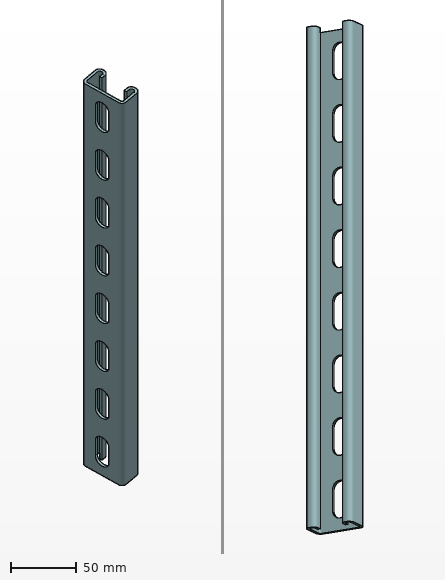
import cadquery as cq

length = 400.0
thickness = 2.5
inner_bend_radius = 1.5

web_flat = 33.0
flange_flat = 13.0
crown_flat = 1.3
lip_flat = 3.5

slot_count = 8
slot_length = 30.0
slot_width = 13.0
slot_pitch = length / slot_count

bend_radius = inner_bend_radius + thickness
bend_x = web_flat / 2
flange_x = bend_x + bend_radius
flange_inner_x = flange_x - thickness
flange_top_y = bend_radius + flange_flat
crown_y = flange_top_y + bend_radius
crown_inner_y = crown_y - thickness
lip_bend_x = bend_x - crown_flat
lip_x = lip_bend_x - bend_radius
lip_inner_x = lip_x + thickness
lip_end_y = flange_top_y - lip_flat


def half_channel():
    """Half of the channel on the +X side, cut at the middle of the web."""
    profile = (
        cq.Workplane("XY")
        .lineTo(bend_x, 0)
        .radiusArc((flange_x, bend_radius), -bend_radius)
        .lineTo(flange_x, flange_top_y)
        .radiusArc((bend_x, crown_y), -bend_radius)
        .lineTo(lip_bend_x, crown_y)
        .radiusArc((lip_x, flange_top_y), -bend_radius)
        .lineTo(lip_x, lip_end_y)
        .lineTo(lip_inner_x, lip_end_y)
        .lineTo(lip_inner_x, flange_top_y)
        .radiusArc((lip_bend_x, crown_inner_y), inner_bend_radius)
        .lineTo(bend_x, crown_inner_y)
        .radiusArc((flange_inner_x, flange_top_y), inner_bend_radius)
        .lineTo(flange_inner_x, bend_radius)
        .radiusArc((bend_x, thickness), inner_bend_radius)
        .lineTo(0, thickness)
        .close()
    )
    return profile.extrude(length)


def web_slots():
    """Row of upright slots through the web, evenly spaced over the length."""
    return (
        cq.Workplane("XZ")
        .center(0, length / 2)
        .rarray(4, slot_pitch, 1, slot_count)
        .slot2D(slot_length, slot_width, angle=90)
        .extrude(-thickness)
    )


right_half = half_channel()
channel = right_half.union(right_half.mirror("YZ")).clean()
result = channel.cut(web_slots())